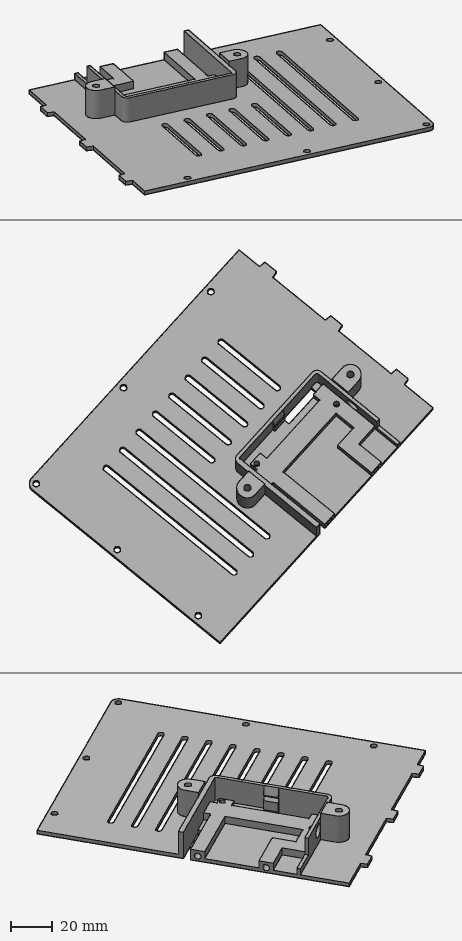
import cadquery as cq

plate_width = 122.0
total_length = 159.0
plate_thickness = 2.0
plate_corner_radius = 4.0

tab_length = 3.3
tab_root_width = 8.3
tab_tip_width = 7.3
tab_pitch = 41.3
tab_first_x = 22.3
tab_count = 3

mount_hole_diameter = 3.2
mount_hole_inset = 3.5
mount_pitch_x = 50.9
mount_pitch_y = 63.8
mount_count = 3

vent_width = 3.0
vent_right = 99.7
vent_long_length = 83.2
vent_short_length = 38.3
vent_back_y = 127.8
vent_front_y = 44.0
vent_long_count = 3
vent_count = 8
vent_pitch = (vent_back_y - vent_front_y) / (vent_count - 1)

wall_height = 15.0
wall_thickness = 1.7
back_wall_thickness = 2.5
wall_outer_radius = 3.0
wall_inner_radius = wall_outer_radius - wall_thickness
wall_right = 52.5
wall_front = 27.7
wall_back = 88.5
inner_right = wall_right - wall_thickness
inner_front = wall_front + wall_thickness
inner_back = wall_back - back_wall_thickness

wall_cut_length = 12.9
wall_cut_floor = 5.4
wall_hole_diameter = 7.0
wall_hole_x = 28.5
wall_hole_z = 9.5

lug_height = 17.0
lug_width = 10.2
lug_x = 37.5
lug_front_y = 20.2
lug_back_y = 95.4

screw_hole_diameter = 3.3
screw_hole_depth = 11.1
drill_cone_ratio = 0.3
rail_hole_z = 2.9

rail_height = 6.0
rail_width = 7.2
rail_right = 46.7
rail_back = 82.5
corner_pocket_length = 14.2
corner_pocket_width = 11.8
pilot_hole_diameter = 2.7
pilot_hole_centers = [(44.5, 80.5), (35.3, 32.9)]

back_opening_length = 23.0
side_opening_front = 33.5

catch_front = 54.2
catch_width = 7.3
catch_reach = 1.3
hook_tip_top = 10.7
hook_bottom = 10.2
ledge_top = 8.9
ledge_shoulder = 7.2


def block(x0, x1, y0, y1, z0, z1):
    """Box spanning the given limits."""
    return cq.Workplane("XY").box(x1 - x0, y1 - y0, z1 - z0, centered=False).translate((x0, y0, z0))


def drilled_hole(diameter, depth):
    """Blind hole cutter opening at the origin, running along -Z with a conical end."""
    radius = diameter / 2
    return (
        cq.Workplane("XZ")
        .polyline([(0, 0), (radius, 0), (radius, -depth), (0, -depth - drill_cone_ratio * diameter)])
        .close()
        .revolve(360, (0, 0), (0, 1))
    )


def make_plate():
    plate = block(0, plate_width, tab_length, total_length, 0, plate_thickness)
    plate = plate.edges("|Z and >X and >Y").fillet(plate_corner_radius)
    for index in range(tab_count):
        x = tab_first_x + index * tab_pitch
        tab = (
            cq.Workplane("XY")
            .polyline(
                [
                    (x - tab_root_width / 2, tab_length),
                    (x - tab_tip_width / 2, 0),
                    (x + tab_tip_width / 2, 0),
                    (x + tab_root_width / 2, tab_length),
                ]
            )
            .close()
            .extrude(plate_thickness)
        )
        plate = plate.union(tab)
    return plate


def mount_holes():
    right_x = plate_width - mount_hole_inset
    back_y = total_length - mount_hole_inset
    back_row = [(right_x - index * mount_pitch_x, back_y) for index in range(mount_count)]
    right_column = [(right_x, back_y - index * mount_pitch_y) for index in range(1, mount_count)]
    return (
        cq.Workplane("XY")
        .pushPoints(back_row + right_column)
        .circle(mount_hole_diameter / 2)
        .extrude(plate_thickness)
    )


def vent_slots():
    slots = cq.Workplane("XY")
    for index in range(vent_count):
        length = vent_long_length if index < vent_long_count else vent_short_length
        slot = (
            cq.Workplane("XY")
            .center(vent_right - length / 2, vent_back_y - index * vent_pitch)
            .slot2D(length, vent_width)
            .extrude(plate_thickness)
        )
        slots = slots.union(slot)
    return slots


def make_wall():
    wall = block(0, wall_right, wall_front, wall_back, 0, wall_height)
    wall = wall.edges("|Z and >X").fillet(wall_outer_radius)
    shell_back = wall_back - wall_thickness
    cavity = block(0, inner_right, inner_front, shell_back, plate_thickness, wall_height)
    cavity = cavity.edges("|Z and >X").fillet(wall_inner_radius)
    lining = block(0, inner_right, inner_back, shell_back, plate_thickness, wall_height)
    corner_opening = block(0, wall_cut_length, wall_front, inner_front, wall_cut_floor, wall_height)
    return wall.cut(cavity.cut(lining)).cut(corner_opening)


def make_lug(end_y, wall_y):
    """Lug with its round end centred at end_y, reaching to the wall's outer face at wall_y."""
    lug = cq.Workplane("XY").center(lug_x, end_y).circle(lug_width / 2).extrude(lug_height)
    front, back = sorted((end_y, wall_y))
    return lug.union(block(lug_x - lug_width / 2, lug_x + lug_width / 2, front, back, 0, lug_height))


def make_rails():
    bend = corner_pocket_length + rail_width
    pocket_back = inner_front + corner_pocket_width
    rails = block(0, rail_right, rail_back - rail_width, rail_back, 0, rail_height)
    for x0, x1, y0, y1 in (
        (lug_x - lug_width / 2, lug_x + lug_width / 2, inner_front, inner_back),
        (corner_pocket_length, rail_right, inner_front, inner_front + rail_width),
        (corner_pocket_length, bend, inner_front, pocket_back + rail_width),
        (0, bend, pocket_back, pocket_back + rail_width),
    ):
        rails = rails.union(block(x0, x1, y0, y1, 0, rail_height))
    return rails


def make_catch():
    tip_x = inner_right - catch_reach
    hook = [
        (inner_right, wall_height),
        (tip_x, hook_tip_top),
        (tip_x, hook_bottom),
        (inner_right, hook_bottom),
    ]
    ledge = [
        (inner_right, ledge_top),
        (tip_x, ledge_shoulder),
        (tip_x, plate_thickness),
        (inner_right, plate_thickness),
    ]
    catch = cq.Workplane("XY")
    for profile in (hook, ledge):
        solid = (
            cq.Workplane("XZ", origin=(0, catch_front, 0)).polyline(profile).close().extrude(-catch_width)
        )
        catch = catch.union(solid)
    return catch


def floor_openings():
    back = block(0, back_opening_length, rail_back, inner_back, 0, plate_thickness)
    side = block(rail_right, inner_right, side_opening_front, catch_front, 0, plate_thickness)
    pilots = (
        cq.Workplane("XY")
        .pushPoints(pilot_hole_centers)
        .circle(pilot_hole_diameter / 2)
        .extrude(rail_height)
    )
    return back.union(side).union(pilots)


def screw_holes():
    lug_hole = drilled_hole(screw_hole_diameter, screw_hole_depth)
    rail_hole = drilled_hole(screw_hole_diameter, screw_hole_depth).rotate((0, 0, 0), (0, 1, 0), -90)
    back_rail_y = rail_back - rail_width / 2
    front_rail_y = inner_front + corner_pocket_width + rail_width / 2
    return (
        lug_hole.translate((lug_x, lug_front_y, lug_height))
        .union(lug_hole.translate((lug_x, lug_back_y, lug_height)))
        .union(rail_hole.translate((0, back_rail_y, rail_hole_z)))
        .union(rail_hole.translate((0, front_rail_y, rail_hole_z)))
    )


def wall_hole():
    return (
        cq.Workplane("XZ", origin=(wall_hole_x, inner_front, wall_hole_z))
        .circle(wall_hole_diameter / 2)
        .extrude(wall_thickness)
    )


result = (
    make_plate()
    .union(make_wall())
    .union(make_lug(lug_front_y, wall_front))
    .union(make_lug(lug_back_y, wall_back))
    .union(make_rails())
    .union(make_catch())
    .cut(mount_holes())
    .cut(vent_slots())
    .cut(floor_openings())
    .cut(screw_holes())
    .cut(wall_hole())
)